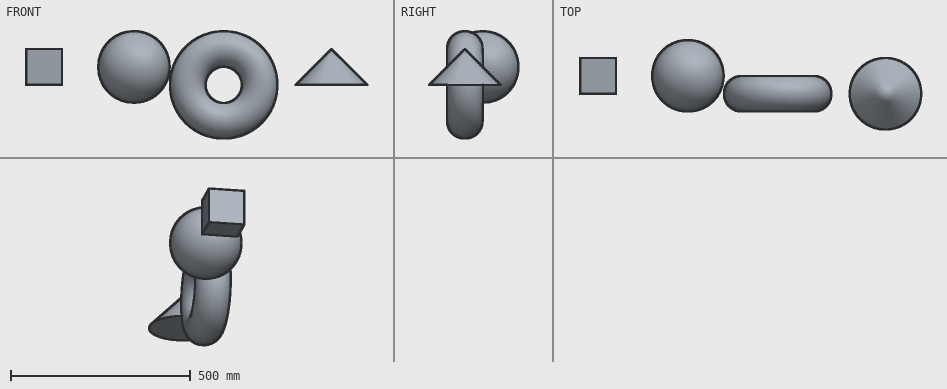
import cadquery as cq

overall_length = 950.0
cube_sides_in_length = 9.5
cube_side = overall_length / cube_sides_in_length
half_side = cube_side / 2

sphere_radius = cube_side
ring_radius = cube_side
tube_radius = half_side
cone_radius = cube_side
cone_height = cube_side

sphere_center = cq.Vector(3 * cube_side, half_side, half_side)
torus_center = cq.Vector(5.5 * cube_side, 0, 0)
cone_base_center = cq.Vector(overall_length - cone_radius, 0, 0)

y_axis = cq.Vector(0, 1, 0)
z_axis = cq.Vector(0, 0, 1)


def make_cube():
    """Cube standing on the XY plane with one corner at the origin."""
    return cq.Workplane("XY").box(cube_side, cube_side, cube_side, centered=False)


def make_sphere():
    """Full sphere centred level with the middle of the cube."""
    return cq.Workplane("XY", origin=sphere_center.toTuple()).sphere(sphere_radius)


def make_torus():
    """Upright ring whose axis runs along Y."""
    return cq.Solid.makeTorus(ring_radius, tube_radius, torus_center, y_axis)


def make_cone():
    """Pointed cone with its base on the XY plane and its tip up."""
    tip_radius = 0
    return cq.Solid.makeCone(cone_radius, tip_radius, cone_height, cone_base_center, z_axis)


cube = make_cube()
sphere = make_sphere()
torus = make_torus()
cone = make_cone()

result = cq.Compound.makeCompound([cube.val(), sphere.val(), torus, cone])